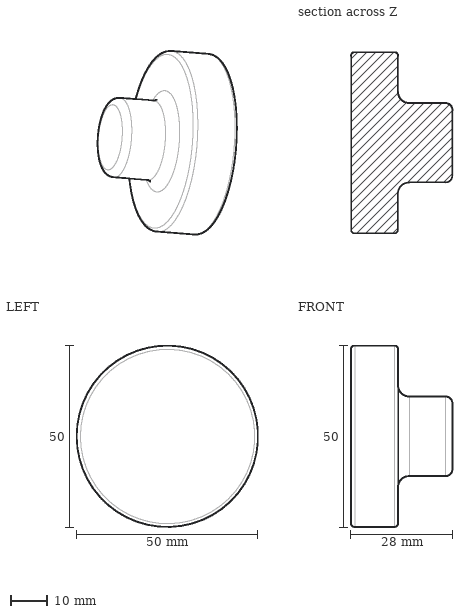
import cadquery as cq

head_diameter = 50.0
head_thickness = 13.0
overall_length = 28.0
hub_diameter = 22.0
head_edge_radius = 1.0
hub_edge_radius = 2.0
root_fillet_radius = 3.0

hub_circles = cq.selectors.RadiusNthSelector(0)
head_circles = cq.selectors.RadiusNthSelector(-1)


def make_sharp_knob():
    """Head disc with its front face at X = 0 and the coaxial hub behind it, all edges sharp."""
    head = cq.Workplane("YZ").circle(head_diameter / 2).extrude(head_thickness)
    hub = cq.Workplane("YZ").circle(hub_diameter / 2).extrude(overall_length)
    return head.union(hub)


def blend_root(knob):
    """Concave fillet where the hub meets the back of the head."""
    return knob.edges("%CIRCLE").edges(hub_circles).edges("<X").fillet(root_fillet_radius)


def round_hub_end(knob):
    """Rounded rim at the free end of the hub."""
    return knob.faces(">X").edges().fillet(hub_edge_radius)


def round_head_rims(knob):
    """Rounded rims on both sides of the head."""
    return knob.edges("%CIRCLE").edges(head_circles).fillet(head_edge_radius)


knob = make_sharp_knob()
knob = blend_root(knob)
knob = round_hub_end(knob)
result = round_head_rims(knob)